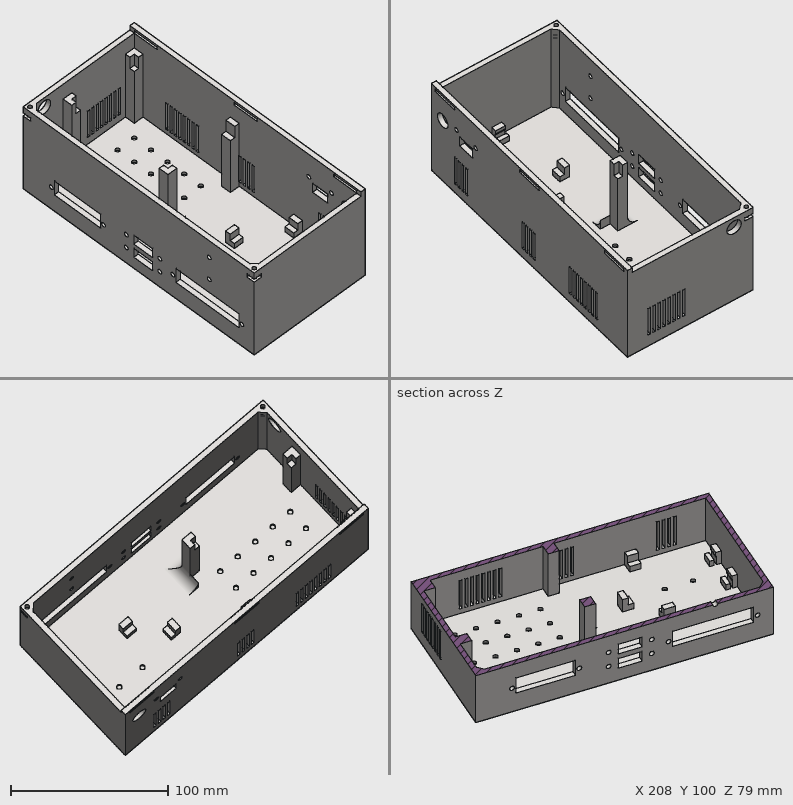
import cadquery as cq


length = 208.0
depth = 100.0
height = 79.0
wall = 4.0
rim = height - wall
back_face = depth - wall
right_face = length - wall
corner_leg = wall
overcut = 2.0
through = wall + 2 * overcut

window_count = 3
window_length = 20.5
window_height = 2.0

screw_diameter = 3.0
screw_inset = 3.1
screw_bottom = 62.5
nut_radius = 3.5
nut_bottom = 66.8
nut_top = 69.5

slit_width = 2.0
slit_pitch = 4.0
slit_height = 24.0
left_vent_start = 54.0
left_vent_bottom = 10.2
left_vent_count = 8
back_vent_bottom = 8.0
back_vents = [(32.0, 8), (98.0, 4), (169.7, 4)]

serial_bottom = 15.0
serial_height = 12.7
serial_screw_z = 20.0
usb_centre = 108.0
usb_width = 16.6
usb_height = 8.1
usb_spacing = 30.2
front_connectors = [
    (48.9, 41.5, serial_bottom, serial_height, 47.0, serial_screw_z),
    (165.8, 56.5, serial_bottom, serial_height, 62.2, serial_screw_z),
    (usb_centre, usb_width, 10.2, usb_height, usb_spacing, 14.1),
    (usb_centre, usb_width, 22.3, usb_height, usb_spacing, 26.0),
]
wall_hole_diameter = 3.3
front_hole_x = 167.5
front_hole_heights = [39.7, 59.7]

socket_centre = 171.2
socket_width = 13.5
socket_bottom = 46.8
socket_height = 8.1
socket_hole_spacing = 20.4
socket_hole_z = 58.5
back_hole_diameter = 11.0
back_hole_x = 196.0
back_hole_z = 55.0
left_hole_diameter = 11.5
left_hole_y = 15.2
left_hole_z = 66.4

floor_hole_diameter = 3.3
floor_hole_depth = 2.0
floor_hole_y = 64.0
grid_start = 21.0
grid_pitch = 15.0
grid_columns = 5
side_hole_xs = [161.0, 180.8]

post = 8.0
ledge = post / 2
post_top = 61.5
shelf_z = 51.4
post_front = 32.0
post_right_x = 90.5
foot_radius = 8.0
foot_depth = post + 2 * foot_radius

clip_top = 14.4
clip_shelf = 8.5
clip_stop = 4.2
clip_left = 127.3
clip_front = 35.4
clip_mid_x = 147.5
clip_mid_y = 55.0
latch_ys = [47.0, 72.0]
latch_thickness = 4.0
latch_body = 3.3
latch_nose_z = 10.8
rest_thickness = 3.1
rest_x = 196.0


def block(x, y, z, dx, dy, dz):
    """Box given by its lowest corner and its sizes."""
    return cq.Workplane("XY").box(dx, dy, dz, centered=False).translate((x, y, z))


def hole_x(diameter, x, y, z, run):
    """Cylinder along +X."""
    return cq.Workplane("YZ", origin=(x, y, z)).circle(diameter / 2).extrude(run)


def hole_y(diameter, x, y, z, run):
    """Cylinder along +Y."""
    return cq.Workplane("XZ", origin=(x, y, z)).circle(diameter / 2).extrude(-run)


def hole_z(diameter, x, y, z, run):
    """Cylinder along +Z."""
    return cq.Workplane("XY", origin=(x, y, z)).circle(diameter / 2).extrude(run)


def front_cut(x, z, dx, dz):
    """Rectangular opening through the front wall."""
    return block(x, -overcut, z, dx, through, dz)


def back_cut(x, z, dx, dz):
    """Rectangular opening through the back wall."""
    return block(x, back_face - overcut, z, dx, through, dz)


def mirrored(shape):
    """The same shape reflected to the right end of the case."""
    return shape.mirror("YZ", (length / 2, 0, 0))


def make_shell():
    shell = block(0, 0, 0, length, depth, rim)
    shell = shell.union(block(0, back_face, rim, length, wall, wall))
    cavity = block(wall, wall, wall, length - 2 * wall, depth - 2 * wall, height)
    cavity = cavity.edges("|Z and <Y").chamfer(corner_leg)
    shell = shell.cut(cavity)
    window_pitch = (length - 2 * wall - window_length) / (window_count - 1)
    for i in range(window_count):
        shell = shell.cut(back_cut(wall + i * window_pitch, rim, window_length, window_height))
    return shell


def make_lid_screw():
    """Screw hole and nut pocket of the front left corner."""
    slot = nut_top - nut_bottom
    reach = screw_inset + nut_radius
    pocket = hole_z(2 * nut_radius, screw_inset, screw_inset, nut_bottom, slot)
    pocket = pocket.union(block(0, 0, nut_bottom, reach, screw_inset, slot))
    pocket = pocket.union(block(0, 0, nut_bottom, screw_inset, reach, slot))
    shaft = hole_z(screw_diameter, screw_inset, screw_inset, screw_bottom, height - screw_bottom)
    return pocket.union(shaft)


def cut_vents(case):
    for i in range(left_vent_count):
        y = left_vent_start + i * slit_pitch
        case = case.cut(block(-overcut, y, left_vent_bottom, through, slit_width, slit_height))
    for start, count in back_vents:
        for i in range(count):
            case = case.cut(back_cut(start + i * slit_pitch, back_vent_bottom, slit_width, slit_height))
    return case


def cut_front(case):
    for centre, width, bottom, tall, spacing, screw_z in front_connectors:
        case = case.cut(front_cut(centre - width / 2, bottom, width, tall))
        for x in (centre - spacing / 2, centre + spacing / 2):
            case = case.cut(hole_y(wall_hole_diameter, x, -overcut, screw_z, through))
    for z in front_hole_heights:
        case = case.cut(hole_y(wall_hole_diameter, front_hole_x, -overcut, z, through))
    return case


def cut_back_and_left(case):
    start = back_face - overcut
    case = case.cut(back_cut(socket_centre - socket_width / 2, socket_bottom, socket_width, socket_height))
    for x in (socket_centre - socket_hole_spacing / 2, socket_centre + socket_hole_spacing / 2):
        case = case.cut(hole_y(wall_hole_diameter, x, start, socket_hole_z, through))
    case = case.cut(hole_y(back_hole_diameter, back_hole_x, start, back_hole_z, through))
    return case.cut(hole_x(left_hole_diameter, -overcut, left_hole_y, left_hole_z, through))


def cut_floor_holes(case):
    spots = [(x, floor_hole_y) for x in side_hole_xs]
    for column in range(grid_columns):
        for row in (-1, 0, 1):
            spots.append((grid_start + column * grid_pitch, floor_hole_y + row * grid_pitch))
    for x, y in spots:
        case = case.cut(hole_z(floor_hole_diameter, x, y, wall - floor_hole_depth, floor_hole_depth))
    return case


def make_post(x, y, notch_x, notch_y, notch_width):
    """Square post whose top is notched down to the board shelf."""
    column = block(x, y, wall, post, post, post_top - wall)
    return column.cut(block(notch_x, notch_y, shelf_z, notch_width, ledge, post_top))


def make_foot():
    """Concave flare along the right and front sides of the front right post."""
    x = post_right_x
    y = post_front - foot_radius
    foot_length = post + foot_radius
    axis_z = wall + foot_radius
    foot = block(x, y, wall, foot_length, foot_depth, foot_radius)
    foot = foot.cut(hole_y(2 * foot_radius, x + foot_length, y, axis_z, foot_depth))
    foot = foot.cut(hole_x(2 * foot_radius, x, y, axis_z, foot_length))
    return foot.cut(block(x, post_front, wall, post, foot_depth, foot_radius))


def make_posts():
    back_y = back_face - post
    posts = make_post(wall, post_front, wall + ledge, post_front + ledge, ledge)
    posts = posts.union(make_post(wall, back_y, wall + ledge, back_y, ledge))
    posts = posts.union(make_post(post_right_x, back_y, post_right_x, back_y, post))
    posts = posts.union(make_post(post_right_x, post_front, post_right_x, post_front + ledge, ledge))
    return posts.union(make_foot())


def make_clip(x, y, high_x, high_y, high_dx, high_dy):
    """Square board rest with a taller stop along its outer side."""
    rest = block(x, y, wall, post, post, clip_shelf - wall)
    return rest.union(block(high_x, high_y, wall, high_dx, high_dy, clip_top - wall))


def make_latch(y):
    """Hook on the right wall whose nose overhangs the board edge."""
    nose_x = right_face - latch_thickness
    nose = block(nose_x, y, latch_nose_z, latch_thickness, post, clip_top - latch_nose_z)
    return nose.union(block(right_face - latch_body, y, wall, latch_body, post, clip_top - wall))


def make_clips():
    back_y = back_face - post
    stop_y = back_face - clip_stop
    clips = make_clip(clip_mid_x, back_y, clip_mid_x, stop_y, post, clip_stop)
    clips = clips.union(make_clip(clip_mid_x, clip_front, clip_mid_x, clip_front, post, clip_stop))
    clips = clips.union(make_clip(clip_left, clip_mid_y, clip_left, clip_mid_y, clip_stop, post))
    for y in latch_ys:
        clips = clips.union(make_latch(y))
        clips = clips.union(block(rest_x, y, wall, rest_thickness, post, clip_shelf - wall))
    return clips


case = make_shell()
case = cut_vents(case)
case = cut_front(case)
case = cut_back_and_left(case)
case = cut_floor_holes(case)
case = case.cut(make_lid_screw()).cut(mirrored(make_lid_screw()))
result = case.union(make_posts()).union(make_clips())